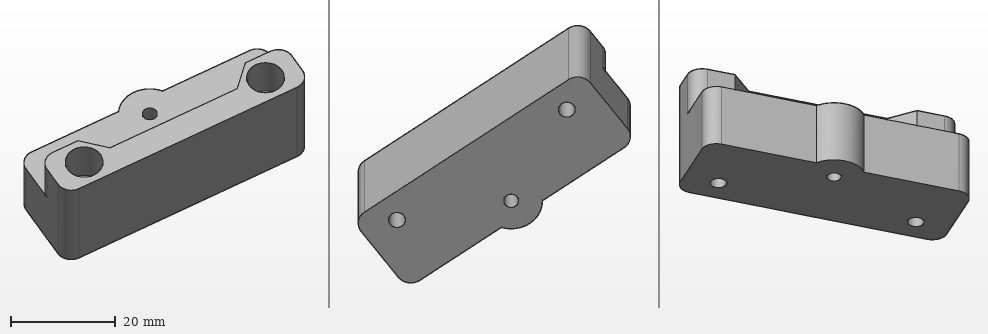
import cadquery as cq

length = 54.0
overall_width = 20.45
height = 22.0
base_height = 13.0
corner_radius = 2.95

boss_radius = 6.0
boss_hole_diameter = 2.8
boss_inset = 3.5

wall_thickness = 5.45
pad_width = 10.0
pad_inner_y = 18.45
wall_end_y = 14.05

screw_inset = pad_width / 2
screw_spacing = 40.0
screw_diameter = 3.2
counterbore_diameter = 7.2
counterbore_depth = height - base_height

base_width = overall_width - boss_radius + boss_inset
back_x = base_width / 2
boss_x = boss_inset - base_width / 2


def make_base():
    block = (
        cq.Workplane("XY")
        .box(base_width, length, base_height, centered=(True, True, False))
        .edges("|Z")
        .fillet(corner_radius)
    )
    boss = cq.Workplane("XY").center(boss_x, 0).circle(boss_radius).extrude(base_height)
    return block.union(boss)


def make_raised_wall():
    wall = (
        cq.Workplane("XY")
        .center(back_x - pad_width / 2, 0)
        .rect(pad_width, length)
        .extrude(height)
        .edges("|Z")
        .fillet(corner_radius)
    )
    pad_x = back_x - pad_width
    wall_x = back_x - wall_thickness
    recess_outline = [
        (pad_x, -pad_inner_y),
        (wall_x, -wall_end_y),
        (wall_x, wall_end_y),
        (pad_x, pad_inner_y),
    ]
    recess = (
        cq.Workplane("XY")
        .workplane(offset=base_height)
        .polyline(recess_outline)
        .close()
        .extrude(height - base_height)
    )
    return wall.cut(recess)


body = make_base().union(make_raised_wall())

boss_hole = cq.Workplane("XY").center(boss_x, 0).circle(boss_hole_diameter / 2).extrude(base_height)
body = body.cut(boss_hole)

screw_x = back_x - screw_inset
result = (
    body.faces(">Z")
    .workplane(origin=(0, 0, height))
    .pushPoints([(screw_x, side * screw_spacing / 2) for side in (-1, 1)])
    .cboreHole(screw_diameter, counterbore_diameter, counterbore_depth)
)